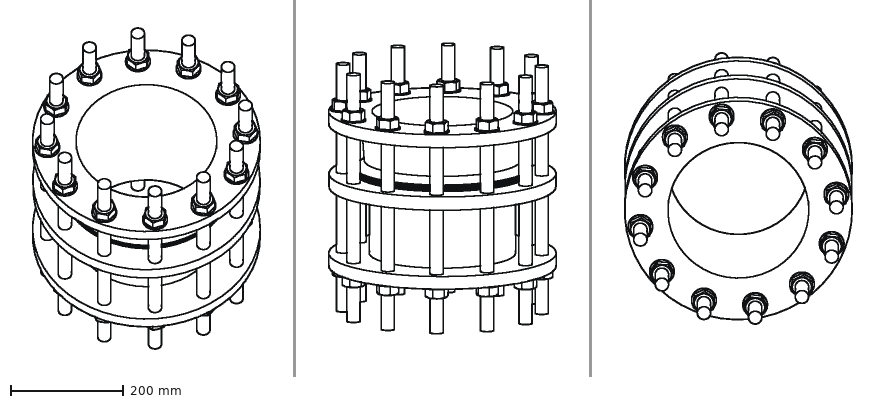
import cadquery as cq
import math

overall_height = 450.0
flange_diameter = 406.0
gland_flange_diameter = 405.0
flange_thickness = 23.5

flange_outer_face = 141.0
gland_flange_bottom = 3.0
gland_flange_top = 27.5

bore_diameter = 251.0
pipe_diameter = 261.0
neck_top_diameter = 288.0
neck_bottom_diameter = 279.5
neck_bottom = 51.8

collar_diameter = 314.0
collar_top = 39.5
collar_bottom = 37.0
groove_diameter = 307.5
groove_bottom = 34.0
lip_diameter = 310.5
lip_groove_top = 31.5
lip_groove_bottom = 29.5

rod_count = 12
rod_diameter = 24.0
rod_circle_diameter = 354.5
washer_diameter = 44.0
washer_thickness = 2.0
nut_sides = 6
nut_across_flats = 36.0
nut_top_diameter = 34.0
nut_height = 17.5
nut_chamfer_angle = 30.0
nut_corner_turn = 45.0

flange_inner_face = flange_outer_face - flange_thickness
nut_across_corners = nut_across_flats / math.cos(math.radians(180 / nut_sides))


def disc(diameter, bottom, top):
    """Solid disc on the Z axis between two heights."""
    return cq.Workplane("XY").workplane(offset=bottom).circle(diameter / 2).extrude(top - bottom)


def make_socket_body():
    """Tapered neck that flares out to the sealing collar, turned about Z."""
    outline = [
        (0, flange_inner_face),
        (neck_top_diameter / 2, flange_inner_face),
        (neck_bottom_diameter / 2, neck_bottom),
        (collar_diameter / 2, collar_top),
        (collar_diameter / 2, collar_bottom),
        (groove_diameter / 2, collar_bottom),
        (groove_diameter / 2, groove_bottom),
        (lip_diameter / 2, groove_bottom),
        (lip_diameter / 2, lip_groove_top),
        (groove_diameter / 2, lip_groove_top),
        (groove_diameter / 2, lip_groove_bottom),
        (lip_diameter / 2, lip_groove_bottom),
        (lip_diameter / 2, gland_flange_top),
        (0, gland_flange_top),
    ]
    return cq.Workplane("XZ").polyline(outline).close().revolve(360, (0, 0), (0, 1))


def make_nut():
    """Hexagonal nut standing on the XY plane, with its upper corners chamfered."""
    corner_radius = nut_across_corners / 2
    top_radius = nut_top_diameter / 2
    chamfer_height = (corner_radius - top_radius) * math.tan(math.radians(nut_chamfer_angle))
    envelope = [
        (0, 0),
        (corner_radius, 0),
        (corner_radius, nut_height - chamfer_height),
        (top_radius, nut_height),
        (0, nut_height),
    ]
    hexagon = cq.Workplane("XY").polygon(nut_sides, nut_across_corners).extrude(nut_height)
    chamfer_body = cq.Workplane("XZ").polyline(envelope).close().revolve(360, (0, 0), (0, 1))
    return hexagon.intersect(chamfer_body)


def make_rod_set():
    """One rod on the Z axis with a washer and a nut at each outer flange."""
    washer_top = flange_outer_face + washer_thickness
    upper_nut = make_nut().rotate((0, 0, 0), (0, 0, 1), nut_corner_turn).translate((0, 0, washer_top))
    upper_fastener = disc(washer_diameter, flange_outer_face, washer_top).union(upper_nut)
    rod = disc(rod_diameter, -overall_height / 2, overall_height / 2)
    return rod.union(upper_fastener).union(upper_fastener.mirror("XY"))


body = disc(flange_diameter, flange_inner_face, flange_outer_face)
body = body.union(disc(gland_flange_diameter, gland_flange_bottom, gland_flange_top))
body = body.union(disc(flange_diameter, -flange_outer_face, -flange_inner_face))
body = body.union(disc(pipe_diameter, -flange_inner_face, gland_flange_bottom))
body = body.union(make_socket_body())

body = body.cut(disc(bore_diameter, -flange_outer_face, flange_outer_face))

rod_pitch = 360 / rod_count
rod_set = make_rod_set().translate((rod_circle_diameter / 2, 0, 0))
for index in range(rod_count):
    body = body.union(rod_set.rotate((0, 0, 0), (0, 0, 1), (index + 0.5) * rod_pitch))

result = body